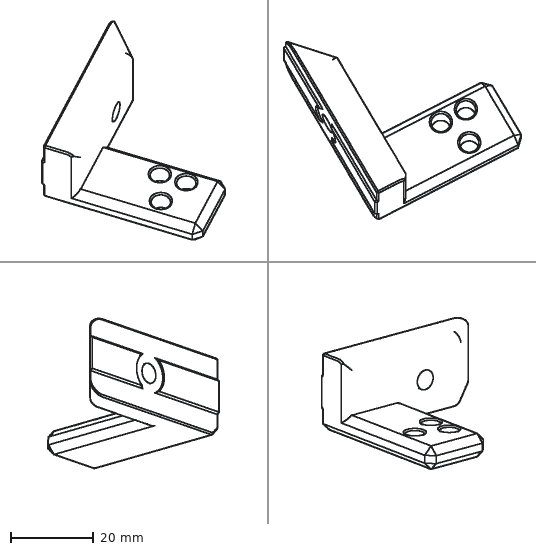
import cadquery as cq
import math

LENGTH = 41.6
WIDTH = 46.3
HEIGHT = 20.0
OVERSIZE = 2 * WIDTH

BACK_X = 0.5
INNER_X = 9.6
TIP_X = 0.8
SLANT_END_Y = 36.6
NEAR_TRIM = 0.4
BEVEL = 2.0
BLEND_RADIUS = 3.0
TIP_CORNER_RADIUS = 0.93
EDGE_CHAMFER = 0.4

RIDGE_BASE_WIDTH = 9.0
RIDGE_TOP_WIDTH = RIDGE_BASE_WIDTH - 2 * BACK_X

BOLT_Y = 25.25
BOLT_Z = HEIGHT / 2
BOLT_DIAMETER = 5.0
BOLT_RECESS_DIAMETER = 10.0

PLATE_WIDTH = 18.6
PLATE_THICKNESS = 6.0
POCKET_DIAMETER = 4.7
POCKET_DEPTH = 5.0
POCKET_CHAMFER = 0.4
POCKET_CENTER_X = 29.1
POCKET_PAIR_SPACING = 6.95
POCKET_NEAR_Y = 5.6
POCKET_FAR_Y = 13.6


def rounded_bar():
    """Long bar along Y, its +X face on the plane X = 0, with bevelled and blended +X edges."""
    bar = (
        cq.Workplane("XY")
        .box(OVERSIZE, 2 * OVERSIZE, HEIGHT, centered=(False, True, False))
        .translate((-OVERSIZE, 0, 0))
        .edges("|Y and >X")
        .chamfer(BEVEL)
    )
    bevel_borders = cq.selectors.BoxSelector(
        (-2 * BEVEL, -BEVEL, -BEVEL), (BEVEL, BEVEL, HEIGHT + BEVEL)
    )
    return bar.edges("|Y").edges(bevel_borders).fillet(BLEND_RADIUS)


def make_wall():
    """Wall whose inner face and slanted far end have bevelled, blended borders."""
    inner_side = rounded_bar().translate((INNER_X, 0, 0))
    slant_angle = math.degrees(math.atan2(INNER_X - TIP_X, WIDTH - SLANT_END_Y))
    slanted_side = (
        rounded_bar()
        .rotate((0, 0, 0), (0, 0, 1), slant_angle)
        .translate((TIP_X, WIDTH, 0))
    )

    footprint = (
        cq.Workplane("XY")
        .polyline([
            (0, -NEAR_TRIM),
            (0, WIDTH),
            (TIP_X, WIDTH),
            (INNER_X, SLANT_END_Y),
            (INNER_X, BEVEL - NEAR_TRIM),
            (INNER_X - BEVEL, -NEAR_TRIM),
        ])
        .close()
        .extrude(HEIGHT)
    )
    for x, y, radius in (
        (INNER_X, SLANT_END_Y, TIP_CORNER_RADIUS),
        (INNER_X, BEVEL - NEAR_TRIM, BLEND_RADIUS),
        (INNER_X - BEVEL, -NEAR_TRIM, BLEND_RADIUS),
    ):
        corner = cq.selectors.NearestToPointSelector((x, y, HEIGHT / 2))
        footprint = footprint.edges("|Z").edges(corner).fillet(radius)

    return footprint.intersect(inner_side).intersect(slanted_side)


def make_plate():
    """Base plate with bevelled edges, running from the back of the part to its +X end."""
    plate = cq.Workplane("XY").box(LENGTH, PLATE_WIDTH, PLATE_THICKNESS, centered=False)
    return plate.edges("|X or >X").chamfer(BEVEL)


def foot_profile():
    """Full-size block whose lower near edge is bevelled in line with the plate."""
    return (
        cq.Workplane("YZ")
        .polyline([
            (0, BEVEL),
            (BEVEL, 0),
            (WIDTH, 0),
            (WIDTH, HEIGHT),
            (0, HEIGHT),
        ])
        .close()
        .extrude(LENGTH)
    )


def back_profile():
    """Full-size block with the ridged back face on its -X side."""
    ridge_base = RIDGE_BASE_WIDTH / 2
    ridge_top = RIDGE_TOP_WIDTH / 2
    return (
        cq.Workplane("XZ")
        .polyline([
            (BACK_X, 0),
            (BACK_X, BOLT_Z - ridge_base),
            (0, BOLT_Z - ridge_top),
            (0, BOLT_Z + ridge_top),
            (BACK_X, BOLT_Z + ridge_base),
            (BACK_X, HEIGHT),
            (LENGTH, HEIGHT),
            (LENGTH, 0),
        ])
        .close()
        .extrude(-WIDTH)
    )


def along_x(diameter, length):
    """Cylinder on the mounting-hole axis, starting at the ridge face."""
    return cq.Workplane("YZ").center(BOLT_Y, BOLT_Z).circle(diameter / 2).extrude(length)


def cut_pockets(body):
    """Round blind pockets in the plate, each with a chamfered mouth."""
    centers = [
        (POCKET_CENTER_X - POCKET_PAIR_SPACING / 2, POCKET_FAR_Y),
        (POCKET_CENTER_X + POCKET_PAIR_SPACING / 2, POCKET_FAR_Y),
        (POCKET_CENTER_X, POCKET_NEAR_Y),
    ]
    radius = POCKET_DIAMETER / 2
    mouth_radius = radius + POCKET_CHAMFER
    pocket = (
        cq.Workplane("XZ")
        .polyline([
            (0, PLATE_THICKNESS),
            (mouth_radius, PLATE_THICKNESS),
            (radius, PLATE_THICKNESS - POCKET_CHAMFER),
            (radius, PLATE_THICKNESS - POCKET_DEPTH),
            (0, PLATE_THICKNESS - POCKET_DEPTH),
        ])
        .close()
        .revolve(360, (0, 0, 0), (0, 1, 0))
    )
    for x, y in centers:
        body = body.cut(pocket.translate((x, y, 0)))
    return body


def chamfer_outline(body):
    """Break the outline of the back face, except its flat far tip, and the near top edge."""
    margin = EDGE_CHAMFER / 4
    below_ridge = BOLT_Z - RIDGE_BASE_WIDTH / 2 - margin
    above_ridge = BOLT_Z + RIDGE_BASE_WIDTH / 2 + margin
    outline = cq.selectors.BoxSelector(
        (-margin, -margin, -margin), (BACK_X + margin, WIDTH - margin, HEIGHT + margin)
    )
    ridge_lines = cq.selectors.BoxSelector(
        (-margin, margin, below_ridge), (BACK_X + margin, WIDTH, above_ridge)
    )
    near_top = cq.selectors.BoxSelector(
        (BACK_X + margin, -margin, HEIGHT - BLEND_RADIUS), (INNER_X, margin, HEIGHT + margin)
    )
    return body.edges((outline - ridge_lines) + near_top).chamfer(EDGE_CHAMFER)


result = make_wall().union(make_plate()).intersect(foot_profile()).intersect(back_profile())
result = chamfer_outline(result)
result = result.cut(along_x(BOLT_DIAMETER, LENGTH))
result = result.cut(along_x(BOLT_RECESS_DIAMETER, BACK_X))
result = cut_pockets(result)